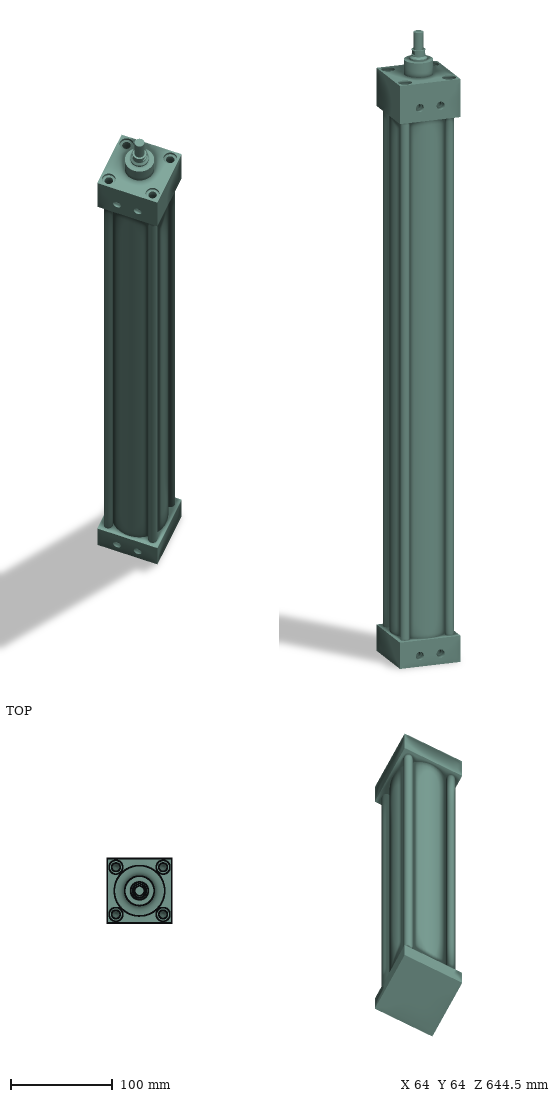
import math
import cadquery as cq

total_length = 644.5
block_side = 64.0
end_cap_height = 27.0
head_bottom = 562.0
head_top = 601.5

tube_diameter = 57.0
tie_rod_diameter = 9.0
tie_rod_spacing = 47.0

corner_hole_spacing = 46.5
corner_mouth_diameter = 13.5
corner_mouth_depth = 2.5
corner_core_diameter = 8.5
corner_core_depth = 16.0

port_spacing = 22.0
port_mouth_diameter = 8.5
port_mouth_depth = 5.0
port_core_diameter = 6.0
port_core_depth = 9.5
cap_port_height = 11.0
head_port_height = 576.0

drill_point_angle = 118

gland_diameter = 49.5
gland_bottom = 585.0
collar_diameter = 29.0
collar_top = 616.0

rod_diameter = 13.5
rod_shoulder = 626.5
wiper_diameter = 17.5
wiper_top = 620.0
flat_bottom = 621.0
flat_top = 626.0
across_flats = 10.0
stud_diameter = 9.5


def cylinder(diameter, bottom, top):
    """Upright cylinder on the Z axis between two heights."""
    return cq.Workplane("XY").workplane(offset=bottom).circle(diameter / 2).extrude(top - bottom)


def rectangle_prism(size_x, size_y, bottom, top):
    """Upright prism centred on the Z axis between two heights."""
    return cq.Workplane("XY").workplane(offset=bottom).rect(size_x, size_y).extrude(top - bottom)


def square_corners(spacing):
    """The four corners of a square centred on the Z axis."""
    half = spacing / 2
    return [(x, y) for x in (-half, half) for y in (-half, half)]


def stepped_hole(mouth_diameter, mouth_depth, core_diameter, core_depth):
    """Cutter going down from the origin: wide mouth, narrower core and drill point."""
    mouth_radius = mouth_diameter / 2
    core_radius = core_diameter / 2
    point_depth = core_radius / math.tan(math.radians(drill_point_angle / 2))
    half_profile = [
        (0, 0),
        (mouth_radius, 0),
        (mouth_radius, -mouth_depth),
        (core_radius, -mouth_depth),
        (core_radius, -core_depth),
        (0, -core_depth - point_depth),
    ]
    return cq.Workplane("XZ").polyline(half_profile).close().revolve(360, (0, 0, 0), (0, 1, 0))


def cut_corner_holes(block):
    hole = stepped_hole(corner_mouth_diameter, corner_mouth_depth, corner_core_diameter, corner_core_depth)
    for x, y in square_corners(corner_hole_spacing):
        block = block.cut(hole.translate((x, y, head_top)))
    return block


def cut_ports(block, height):
    hole = stepped_hole(port_mouth_diameter, port_mouth_depth, port_core_diameter, port_core_depth)
    hole = hole.rotate((0, 0, 0), (1, 0, 0), 90)
    for x in (-port_spacing / 2, port_spacing / 2):
        block = block.cut(hole.translate((x, -block_side / 2, height)))
    return block


def make_frame():
    """End cap and head, held together by the four tie rods."""
    end_cap = rectangle_prism(block_side, block_side, 0, end_cap_height)
    end_cap = cut_ports(end_cap, cap_port_height)
    head = rectangle_prism(block_side, block_side, head_bottom, head_top)
    head = cut_ports(cut_corner_holes(head), head_port_height)
    head = head.cut(cylinder(gland_diameter, gland_bottom, head_top))
    tie_rods = (
        cq.Workplane("XY")
        .workplane(offset=end_cap_height)
        .pushPoints(square_corners(tie_rod_spacing))
        .circle(tie_rod_diameter / 2)
        .extrude(head_bottom - end_cap_height)
    )
    return end_cap.union(tie_rods).union(head)


def make_tube():
    return cylinder(tube_diameter, end_cap_height, head_bottom)


def make_gland():
    plug = cylinder(gland_diameter, gland_bottom, head_top)
    collar = cylinder(collar_diameter, head_top, collar_top)
    rod_hole = cylinder(rod_diameter, gland_bottom, collar_top)
    return plug.union(collar).cut(rod_hole)


def make_piston_rod():
    rod = cylinder(rod_diameter, gland_bottom, rod_shoulder)
    flat_blank = rectangle_prism(rod_diameter, rod_diameter, flat_bottom, flat_top)
    kept_core = rectangle_prism(across_flats, rod_diameter, flat_bottom, flat_top)
    rod = rod.cut(flat_blank.cut(kept_core))
    wiper_chamfer = (wiper_diameter - rod_diameter) / 2
    wiper = cylinder(wiper_diameter, collar_top, wiper_top).faces(">Z").chamfer(wiper_chamfer)
    stud = cylinder(stud_diameter, rod_shoulder, total_length)
    return rod.union(wiper).union(stud)


frame = make_frame()
tube = make_tube()
gland = make_gland()
piston_rod = make_piston_rod()

result = cq.Compound.makeCompound([frame.val(), tube.val(), gland.val(), piston_rod.val()])